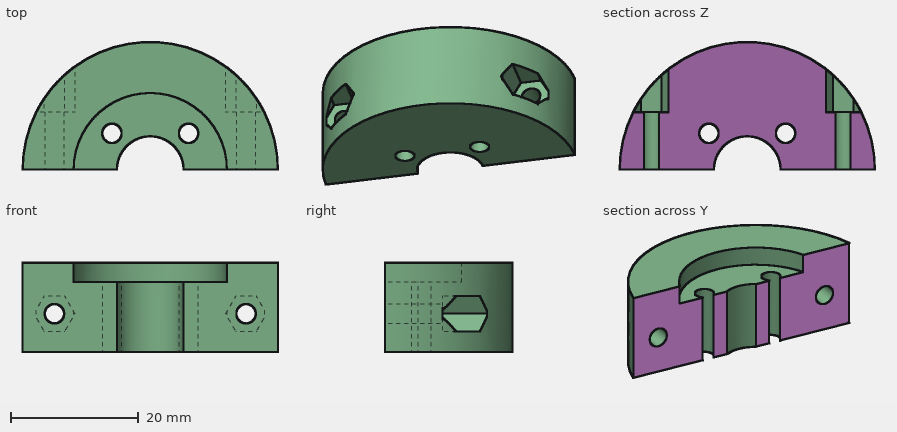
import cadquery as cq

outer_radius = 20.0
height = 14.0
bore_radius = 5.2
recess_radius = 12.0
recess_depth = 3.0

hole_diameter = 3.0
floor_hole_x = 6.0
floor_hole_y = 5.7
clamp_hole_x = 15.0
clamp_hole_z = 6.0

nut_across_corners = 6.4
nut_seat_y = 9.0
nut_pocket_length = 7.0


def half_disc(radius, thickness):
    """Half cylinder on the +Y side, standing on Z = 0."""
    return (
        cq.Workplane("XY")
        .moveTo(-radius, 0)
        .threePointArc((0, radius), (radius, 0))
        .close()
        .extrude(thickness)
    )


def clamp_axis_points(start_y):
    """XZ workplane at the given Y with a point on each clamp hole axis."""
    return (
        cq.Workplane("XZ", origin=(0, start_y, clamp_hole_z))
        .pushPoints([(-clamp_hole_x, 0), (clamp_hole_x, 0)])
    )


def floor_holes():
    """Vertical holes through the recess floor."""
    return (
        cq.Workplane("XY")
        .pushPoints([(-floor_hole_x, floor_hole_y), (floor_hole_x, floor_hole_y)])
        .circle(hole_diameter / 2)
        .extrude(height)
    )


def clamp_holes():
    """Clamping screw holes running along Y from the split face."""
    return clamp_axis_points(0).circle(hole_diameter / 2).extrude(-outer_radius)


def nut_pockets():
    """Hexagonal pockets with flats facing up and down."""
    return clamp_axis_points(nut_seat_y).polygon(6, nut_across_corners).extrude(-nut_pocket_length)


recess = half_disc(recess_radius, recess_depth).translate((0, 0, height - recess_depth))

result = (
    half_disc(outer_radius, height)
    .cut(half_disc(bore_radius, height))
    .cut(recess)
    .cut(floor_holes())
    .cut(clamp_holes())
    .cut(nut_pockets())
)